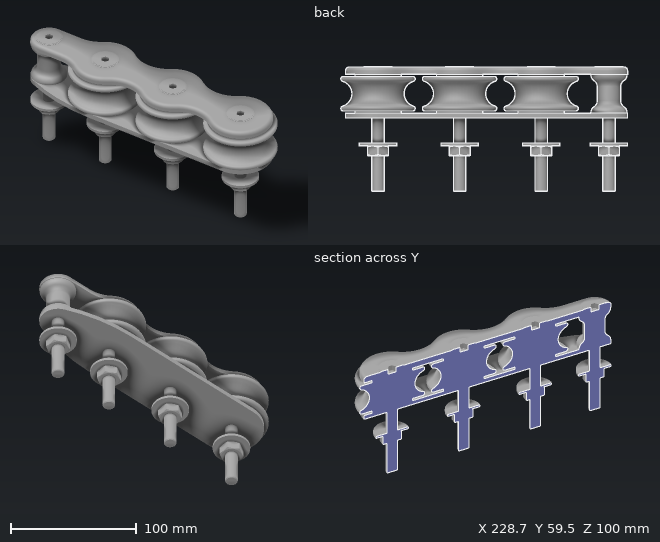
import cadquery as cq
import math

ROLLER_COUNT = 3
OVERALL_LENGTH = 228.7
FIRST_ROLLER_X = 54.0

PLATE_WIDTH = 52.0
PLATE_END_DIAMETER = 30.0
BOTTOM_PLATE_THICKNESS = 4.1
TOP_PLATE_THICKNESS = 6.0
TOP_PLATE_EDGE_ROUND = 3.2
PLATE_GAP = 30.9
BOTTOM_PLATE_Z = 58.5

ROLLER_DIAMETER = 59.5
ROLLER_HEIGHT = 27.7
ROLLER_NECK_DIAMETER = 41.9
ROLLER_LIP_RADIUS = 2.0
HUB_DIAMETER = 37.0

SPOOL_FLANGE_DIAMETER = 29.0
SPOOL_NECK_DIAMETER = 19.0
SPOOL_RIM_HEIGHT = 0.5
SPOOL_FLARE_HEIGHT = 9.1

BOLT_DIAMETER = 10.0
BOLT_TIP_CHAMFER = 0.7
HEAD_DIAMETER = 20.0
HEAD_HEIGHT = 0.5
HEAD_RIM_DIAMETER = 22.2
HEAD_RIM_HEIGHT = 0.2
SOCKET_ACROSS_FLATS = 6.0
SOCKET_DEPTH = 4.5

WASHER_DIAMETER = 30.0
WASHER_THICKNESS = 2.3
WASHER_DROP = 19.7
NUT_ACROSS_FLATS = 17.0
NUT_HEIGHT = 8.0
NUT_FACE_DIAMETER = 16.0
NUT_CHAMFER_ANGLE = 30

plate_radius = PLATE_WIDTH / 2
end_radius = PLATE_END_DIAMETER / 2
last_roller_x = OVERALL_LENGTH - end_radius - ROLLER_DIAMETER / 2
roller_pitch = (last_roller_x - FIRST_ROLLER_X) / (ROLLER_COUNT - 1)
roller_xs = [FIRST_ROLLER_X + i * roller_pitch for i in range(ROLLER_COUNT)]
bolt_xs = [0] + roller_xs
gap_bottom_z = BOTTOM_PLATE_Z + BOTTOM_PLATE_THICKNESS
gap_top_z = gap_bottom_z + PLATE_GAP
plates_top_z = gap_top_z + TOP_PLATE_THICKNESS
washer_z = BOTTOM_PLATE_Z - WASHER_DROP - WASHER_THICKNESS
nut_z = washer_z - NUT_HEIGHT


def cylinder(diameter, bottom_z, top_z):
    return cq.Workplane("XY").workplane(offset=bottom_z).circle(diameter / 2).extrude(top_z - bottom_z)


def hexagon_prism(across_flats, bottom_z, height):
    return (
        cq.Workplane("XY")
        .workplane(offset=bottom_z)
        .polygon(6, hexagon_corner_diameter(across_flats))
        .extrude(height)
    )


def hexagon_corner_diameter(across_flats):
    return across_flats / math.cos(math.pi / 6)


def bottom_plate():
    side_radius = (FIRST_ROLLER_X**2 + plate_radius**2 - end_radius**2) / (2 * (plate_radius - end_radius))
    lean = math.asin(FIRST_ROLLER_X / (side_radius - end_radius))
    side_center_y = plate_radius - side_radius
    end_x = -end_radius * math.sin(lean)
    end_y = end_radius * math.cos(lean)
    mid_x = FIRST_ROLLER_X - side_radius * math.sin(lean / 2)
    mid_y = side_center_y + side_radius * math.cos(lean / 2)
    return (
        cq.Workplane("XY")
        .workplane(offset=BOTTOM_PLATE_Z)
        .moveTo(end_x, end_y)
        .threePointArc((mid_x, mid_y), (FIRST_ROLLER_X, plate_radius))
        .lineTo(last_roller_x, plate_radius)
        .threePointArc((last_roller_x + plate_radius, 0), (last_roller_x, -plate_radius))
        .lineTo(FIRST_ROLLER_X, -plate_radius)
        .threePointArc((mid_x, -mid_y), (end_x, -end_y))
        .threePointArc((-end_radius, 0), (end_x, end_y))
        .close()
        .extrude(BOTTOM_PLATE_THICKNESS)
    )


def top_plate():
    half_pitch = roller_pitch / 2
    waist_radius = (half_pitch**2 + end_radius**2 - plate_radius**2) / (2 * (plate_radius - end_radius))
    lobe_angle = math.asin(half_pitch / (waist_radius + plate_radius))
    joint_dx = plate_radius * math.sin(lobe_angle)
    joint_y = plate_radius * math.cos(lobe_angle)
    straight_end_x = FIRST_ROLLER_X - half_pitch
    waist_mid_dx = waist_radius * math.sin(lobe_angle / 2)
    waist_mid_y = end_radius + waist_radius * (1 - math.cos(lobe_angle / 2))

    outline = (
        cq.Workplane("XY")
        .workplane(offset=gap_top_z)
        .moveTo(0, end_radius)
        .lineTo(straight_end_x, end_radius)
        .threePointArc(
            (straight_end_x + waist_mid_dx, waist_mid_y), (FIRST_ROLLER_X - joint_dx, joint_y)
        )
    )
    for x in roller_xs[:-1]:
        outline = outline.threePointArc((x, plate_radius), (x + joint_dx, joint_y))
        outline = outline.threePointArc(
            (x + half_pitch, end_radius), (x + roller_pitch - joint_dx, joint_y)
        )
    outline = outline.threePointArc(
        (last_roller_x + plate_radius, 0), (last_roller_x - joint_dx, -joint_y)
    )
    for x in reversed(roller_xs[:-1]):
        outline = outline.threePointArc((x + half_pitch, -end_radius), (x + joint_dx, -joint_y))
        outline = outline.threePointArc((x, -plate_radius), (x - joint_dx, -joint_y))
    return (
        outline.threePointArc(
            (straight_end_x + waist_mid_dx, -waist_mid_y), (straight_end_x, -end_radius)
        )
        .lineTo(0, -end_radius)
        .threePointArc((-end_radius, 0), (0, end_radius))
        .close()
        .extrude(TOP_PLATE_THICKNESS)
        .faces(">Z")
        .edges()
        .fillet(TOP_PLATE_EDGE_ROUND)
    )


def roller():
    outer_radius = ROLLER_DIAMETER / 2
    neck_radius = ROLLER_NECK_DIAMETER / 2
    lip_x = outer_radius - ROLLER_LIP_RADIUS
    lip_dz = ROLLER_HEIGHT / 2 - ROLLER_LIP_RADIUS
    lip_dx = lip_x - neck_radius
    groove_radius = (lip_dx**2 + lip_dz**2 - ROLLER_LIP_RADIUS**2) / (2 * (lip_dx + ROLLER_LIP_RADIUS))
    groove_center_x = neck_radius + groove_radius
    center_distance = groove_radius + ROLLER_LIP_RADIUS
    meet_x = groove_center_x + (lip_x - groove_center_x) * groove_radius / center_distance
    meet_dz = lip_dz * groove_radius / center_distance
    middle_z = (gap_bottom_z + gap_top_z) / 2
    bottom_z = middle_z - ROLLER_HEIGHT / 2
    top_z = middle_z + ROLLER_HEIGHT / 2
    wheel = (
        cq.Workplane("XZ")
        .moveTo(0, bottom_z)
        .lineTo(lip_x, bottom_z)
        .threePointArc((outer_radius, middle_z - lip_dz), (meet_x, middle_z - meet_dz))
        .threePointArc((neck_radius, middle_z), (meet_x, middle_z + meet_dz))
        .threePointArc((outer_radius, middle_z + lip_dz), (lip_x, top_z))
        .lineTo(0, top_z)
        .close()
        .revolve(360, (0, 0, 0), (0, 1, 0))
    )
    return wheel.union(cylinder(HUB_DIAMETER, gap_bottom_z, gap_top_z))


def spool():
    rim_x = SPOOL_FLANGE_DIAMETER / 2
    neck_x = SPOOL_NECK_DIAMETER / 2
    middle_x = (rim_x + neck_x) / 2
    half_flare = SPOOL_FLARE_HEIGHT / 2
    lower_rim_z = gap_bottom_z + SPOOL_RIM_HEIGHT
    lower_neck_z = lower_rim_z + SPOOL_FLARE_HEIGHT
    upper_rim_z = gap_top_z - SPOOL_RIM_HEIGHT
    upper_neck_z = upper_rim_z - SPOOL_FLARE_HEIGHT
    return (
        cq.Workplane("XZ")
        .moveTo(0, gap_bottom_z)
        .lineTo(rim_x, gap_bottom_z)
        .lineTo(rim_x, lower_rim_z)
        .tangentArcPoint((middle_x, lower_rim_z + half_flare), relative=False)
        .tangentArcPoint((neck_x, lower_neck_z), relative=False)
        .lineTo(neck_x, upper_neck_z)
        .tangentArcPoint((middle_x, upper_neck_z + half_flare), relative=False)
        .tangentArcPoint((rim_x, upper_rim_z), relative=False)
        .lineTo(rim_x, gap_top_z)
        .lineTo(0, gap_top_z)
        .close()
        .revolve(360, (0, 0, 0), (0, 1, 0))
    )


def nut():
    corner_diameter = hexagon_corner_diameter(NUT_ACROSS_FLATS)
    hexagon = hexagon_prism(NUT_ACROSS_FLATS, nut_z, NUT_HEIGHT).rotate((0, 0, 0), (0, 0, 1), 90)
    chamfer_width = (corner_diameter - NUT_FACE_DIAMETER) / 2
    chamfer_height = chamfer_width * math.tan(math.radians(NUT_CHAMFER_ANGLE))
    envelope = (
        cylinder(corner_diameter, nut_z, nut_z + NUT_HEIGHT)
        .edges()
        .chamfer(chamfer_height, chamfer_width)
    )
    return hexagon.intersect(envelope)


def bolt():
    shank = cylinder(BOLT_DIAMETER, 0, plates_top_z).faces("<Z").chamfer(BOLT_TIP_CHAMFER)
    head = cylinder(HEAD_DIAMETER, gap_top_z, plates_top_z + HEAD_HEIGHT)
    rim = cylinder(HEAD_RIM_DIAMETER, gap_top_z, plates_top_z + HEAD_RIM_HEIGHT)
    washer = cylinder(WASHER_DIAMETER, washer_z, washer_z + WASHER_THICKNESS)
    return shank.union(head).union(rim).union(washer).union(nut())


def socket():
    return hexagon_prism(SOCKET_ACROSS_FLATS, plates_top_z + HEAD_HEIGHT - SOCKET_DEPTH, SOCKET_DEPTH)


result = bottom_plate().union(top_plate()).union(spool())
for x in roller_xs:
    result = result.union(roller().translate((x, 0, 0)))
for x in bolt_xs:
    result = result.union(bolt().translate((x, 0, 0)))
for x in bolt_xs:
    result = result.cut(socket().translate((x, 0, 0)))